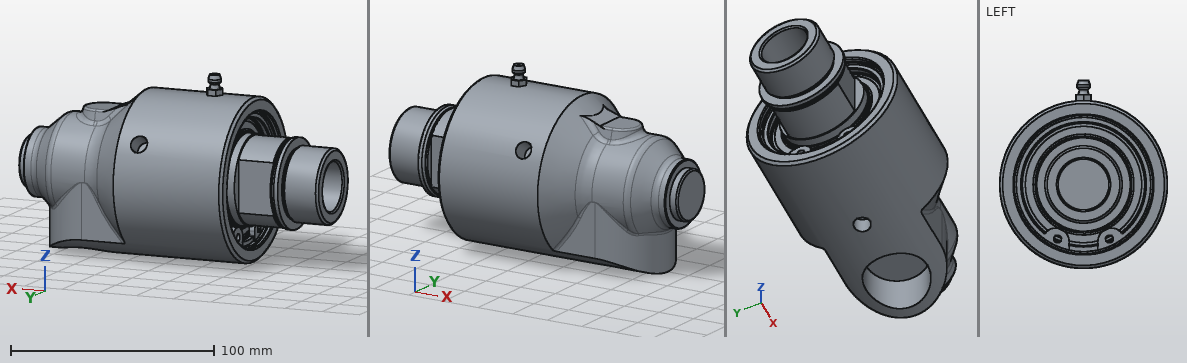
import cadquery as cq
import math


housing_front = 41.9
housing_radius = 82.6 / 2
housing_chamfer = 1.5
shoulder_x = 100.1
taper_angle = math.radians(40)
waist_radius = 26.5
waist_end_x = 140.4
shoulder_blend = 12.3
nose_blend = 5.4
nose_radius = 34.8 / 2
nose_end_x = 159.2
nose_chamfer = 0.5
stub_radius = 13.3
stub_chamfer = 0.8
overall_length = 163.6

mouth_radius = 34.0
mouth_chamfer = 0.7
mouth_end_x = 44.2
cavity_radius = 33.0
ledge_x = 46.3
ledge_inner_radius = 30.8
bearing_face_x = 48.5
outer_race_inner_radius = 30.1
shield_x = 49.2
shield_step_radius = 28.6
shield_step_x = 48.9
inner_race_outer_radius = 24.9

thread_radius = 38.1 / 2
thread_length = 19.0
thread_chamfer = 1.1
flange_radius = 46.0 / 2
flange_start_x = 19.8
flange_step_x = 22.0
flange_step_radius = 22.2
flange_end_x = 23.4
undercut_radius = 21.6
undercut_end_x = 24.4
shaft_radius = 44.7 / 2
collar_start_x = 43.0
collar_radius = 23.0
seat_start_x = 47.3
seat_radius = 23.9
width_across_flats = 35.8
bore_radius = 25.0 / 2
bore_chamfer = 0.8
bore_depth = 98.2

ring_front_x = 45.5
ring_thickness = bearing_face_x - ring_front_x
ring_inner_radius = 31.0
ring_gap = 14.2
lug_radius = 6.7
lug_y = 13.7
lug_z = -28.1
lug_hole_y = 12.8
lug_hole_z = -26.8
lug_hole_diameter = 3.8

boss_x = 123.8
boss_radius = 26.3
boss_fillet = 2.1
port_x = 127.6
port_radius = 16.9
port_top_z = -18.0

pad_x = 123.7
pad_radius = 9.7
pad_draft = 15
pad_top_z = 30.8
pad_ramp_x = 116.6
pad_ramp_slope = 0.37
pad_edge_fillet = 1.3
pad_base_fillet = 3.6
pad_block_top_z = 38.0

side_hole_x = 88.7
side_hole_diameter = 8.7
side_hole_depth = 9.8
side_hole_angles = (30, 150, 270)

nipple_x = 63.8
nipple_hex_corners = 8.7
nipple_hex_top_z = 44.2
nipple_height = 10.0
nipple_top_z = housing_radius + nipple_height
nipple_sunk_depth = 1.6
nipple_root_radius = 5.4 / 2
nipple_neck_radius = 2.1
nipple_neck_start_z = 46.1
nipple_neck_end_z = 46.6
nipple_ball_radius = 3.3
nipple_ball_start_z = 47.8
nipple_ball_end_z = 49.0
nipple_tip_radius = 2.5
nipple_hole_diameter = 1.1
nipple_hole_depth = 1.3

selection_margin = 0.2


def revolve_about_x(profile):
    """Turn an (x, radius) half profile into a solid about the X axis."""
    return profile.close().revolve(360, (0, 0, 0), (1, 0, 0))


def disc(x, radius, length):
    return cq.Workplane("YZ", origin=(x, 0, 0)).circle(radius).extrude(length)


def blend_arc(profile, center, radius, start_angle, end_angle):
    """Add an arc about `center` from `start_angle` to `end_angle`, joined by a line."""
    def point(angle):
        return (center[0] + radius * math.cos(angle), center[1] + radius * math.sin(angle))

    middle = point((start_angle + end_angle) / 2)
    return profile.lineTo(*point(start_angle)).threePointArc(middle, point(end_angle))


def make_housing():
    up = math.pi / 2
    down = -math.pi / 2
    blend_share = 1 - math.cos(taper_angle)
    slope = math.tan(taper_angle)
    taper_drop = housing_radius - waist_radius - shoulder_blend * blend_share
    waist_start_x = shoulder_x + taper_drop / slope + shoulder_blend * math.sin(taper_angle)
    nose_drop = waist_radius - nose_radius - 2 * nose_blend * blend_share
    nose_start_x = waist_end_x + nose_drop / slope + 2 * nose_blend * math.sin(taper_angle)

    profile = (
        cq.Workplane("XY")
        .moveTo(housing_front, 0)
        .lineTo(housing_front, housing_radius - housing_chamfer)
        .lineTo(housing_front + housing_chamfer, housing_radius)
        .lineTo(shoulder_x, housing_radius)
    )
    shoulder_center = (waist_start_x, waist_radius + shoulder_blend)
    profile = blend_arc(profile, shoulder_center, shoulder_blend, down - taper_angle, down)
    crest_center = (waist_end_x, waist_radius - nose_blend)
    profile = blend_arc(profile, crest_center, nose_blend, up, up - taper_angle)
    root_center = (nose_start_x, nose_radius + nose_blend)
    profile = blend_arc(profile, root_center, nose_blend, down - taper_angle, down)
    profile = (
        profile.lineTo(nose_end_x - nose_chamfer, nose_radius)
        .lineTo(nose_end_x, nose_radius - nose_chamfer)
        .lineTo(nose_end_x, stub_radius)
        .lineTo(overall_length - stub_chamfer, stub_radius)
        .lineTo(overall_length, stub_radius - stub_chamfer)
        .lineTo(overall_length, 0)
    )
    return revolve_about_x(profile)


def make_cavity():
    profile = (
        cq.Workplane("XY")
        .moveTo(housing_front, 0)
        .lineTo(housing_front, mouth_radius + mouth_chamfer)
        .lineTo(housing_front + mouth_chamfer, mouth_radius)
        .lineTo(mouth_end_x, mouth_radius)
        .lineTo(mouth_end_x, cavity_radius)
        .lineTo(ledge_x, cavity_radius)
        .lineTo(ledge_x, ledge_inner_radius)
        .lineTo(bearing_face_x, ledge_inner_radius)
        .lineTo(bearing_face_x, outer_race_inner_radius)
        .lineTo(shield_x, outer_race_inner_radius)
        .lineTo(shield_x, shield_step_radius)
        .lineTo(shield_step_x, shield_step_radius)
        .lineTo(shield_step_x, inner_race_outer_radius)
        .lineTo(bearing_face_x, inner_race_outer_radius)
        .lineTo(bearing_face_x, 0)
    )
    return revolve_about_x(profile)


def make_rotor():
    profile = (
        cq.Workplane("XY")
        .lineTo(0, thread_radius - thread_chamfer)
        .lineTo(thread_chamfer, thread_radius)
        .lineTo(thread_length - thread_chamfer, thread_radius)
        .lineTo(thread_length, thread_radius - thread_chamfer)
        .lineTo(flange_start_x, thread_radius - thread_chamfer)
        .lineTo(flange_start_x, flange_radius)
        .lineTo(flange_step_x, flange_radius)
        .lineTo(flange_end_x, flange_step_radius)
        .lineTo(flange_end_x, undercut_radius)
        .lineTo(undercut_end_x, undercut_radius)
        .lineTo(undercut_end_x, shaft_radius)
        .lineTo(collar_start_x, shaft_radius)
        .lineTo(collar_start_x, collar_radius)
        .lineTo(seat_start_x, collar_radius)
        .lineTo(seat_start_x, seat_radius)
        .lineTo(bearing_face_x, seat_radius)
        .lineTo(bearing_face_x, 0)
    )
    rotor = revolve_about_x(profile)
    flat_length = collar_start_x - undercut_end_x
    flat_center_x = undercut_end_x + flat_length / 2
    flat_block = cq.Workplane("XY", origin=(flat_center_x, 0, 0)).box(
        flat_length, width_across_flats, 4 * shaft_radius
    )
    flat_cutter = disc(undercut_end_x, 2 * shaft_radius, flat_length).cut(flat_block)
    return rotor.cut(flat_cutter)


def make_bore():
    profile = (
        cq.Workplane("XY")
        .lineTo(0, bore_radius + bore_chamfer)
        .lineTo(bore_chamfer, bore_radius)
        .lineTo(bore_depth, bore_radius)
        .lineTo(bore_depth, 0)
    )
    return revolve_about_x(profile)


def make_retaining_ring():
    ring_plane = cq.Workplane("YZ", origin=(ring_front_x, 0, 0))
    lug_centers = [(-lug_y, lug_z), (lug_y, lug_z)]
    hole_centers = [(-lug_hole_y, lug_hole_z), (lug_hole_y, lug_hole_z)]
    gap_center = ring_plane.center(0, -cavity_radius)
    gap = gap_center.rect(ring_gap, cavity_radius).extrude(ring_thickness)
    ring = ring_plane.circle(cavity_radius).circle(ring_inner_radius).extrude(ring_thickness)
    lugs = ring_plane.pushPoints(lug_centers).circle(lug_radius).extrude(ring_thickness)
    lugs = lugs.intersect(disc(ring_front_x, cavity_radius, ring_thickness))
    holes = ring_plane.pushPoints(hole_centers).circle(lug_hole_diameter / 2).extrude(ring_thickness)
    return ring.union(lugs).cut(gap).cut(holes)


def add_pad(body):
    """Join a U-shaped pad to the top of the waist, with a ramp running up to the taper."""
    foot_radius = pad_radius + pad_top_z * math.tan(math.radians(pad_draft))
    block_start_x = shoulder_x - foot_radius
    block = (
        cq.Workplane("XY")
        .moveTo(block_start_x, -foot_radius)
        .lineTo(pad_x, -foot_radius)
        .threePointArc((pad_x + foot_radius, 0), (pad_x, foot_radius))
        .lineTo(block_start_x, foot_radius)
        .close()
        .extrude(pad_block_top_z, taper=pad_draft)
    )
    base_box = cq.selectors.BoxSelector(
        (pad_x + selection_margin, -foot_radius, 0),
        (pad_x + foot_radius, foot_radius, waist_radius + selection_margin),
    )
    padded = body.union(block).edges(base_box).fillet(pad_base_fillet)

    ramp_start_z = pad_top_z + pad_ramp_slope * (pad_ramp_x - shoulder_x)
    trim = (
        cq.Workplane("XZ")
        .moveTo(shoulder_x, housing_radius)
        .lineTo(shoulder_x, ramp_start_z)
        .lineTo(pad_ramp_x, pad_top_z)
        .lineTo(pad_x + 2 * pad_radius, pad_top_z)
        .lineTo(pad_x + 2 * pad_radius, housing_radius)
        .close()
        .extrude(2 * pad_radius, both=True)
        .cut(body)
    )
    top_box = cq.selectors.BoxSelector(
        (pad_ramp_x + selection_margin, -2 * pad_radius, pad_top_z - selection_margin),
        (pad_x + 2 * pad_radius, 2 * pad_radius, pad_top_z + selection_margin),
    )
    return padded.cut(trim).edges(top_box).fillet(pad_edge_fillet)


def add_boss(body):
    """Join a U-shaped boss below the waist, its foot following the housing cylinder."""
    outline = (
        cq.Workplane("XY")
        .moveTo(shoulder_x, -boss_radius)
        .lineTo(boss_x, -boss_radius)
        .threePointArc((boss_x + boss_radius, 0), (boss_x, boss_radius))
        .lineTo(shoulder_x, boss_radius)
        .close()
    )
    envelope = disc(shoulder_x, housing_radius, overall_length - shoulder_x)
    boss = outline.extrude(-housing_radius).intersect(envelope)
    joint_box = cq.selectors.BoxSelector(
        (boss_x + boss_radius / 2, -boss_radius, -waist_radius),
        (boss_x + boss_radius, boss_radius, -nose_radius),
    )
    return body.union(boss).edges(joint_box).fillet(boss_fillet)


def make_side_hole(angle):
    """Radial blind hole at `angle` degrees, measured from +Y toward +Z."""
    direction = cq.Vector(0, math.cos(math.radians(angle)), math.sin(math.radians(angle)))
    floor = direction * (housing_radius - side_hole_depth)
    floor_point = cq.Vector(side_hole_x, floor.y, floor.z)
    hole = cq.Solid.makeCylinder(side_hole_diameter / 2, 2 * side_hole_depth, floor_point, direction)
    return cq.Workplane(obj=hole)


def make_nipple():
    base_z = housing_radius - nipple_sunk_depth
    hex_base = (
        cq.Workplane("XY", origin=(nipple_x, 0, base_z))
        .polygon(6, nipple_hex_corners)
        .extrude(nipple_hex_top_z - base_z)
    )
    head = (
        cq.Workplane("XZ", origin=(nipple_x, 0, 0))
        .moveTo(0, base_z)
        .lineTo(nipple_root_radius, base_z)
        .lineTo(nipple_root_radius, nipple_hex_top_z)
        .lineTo(nipple_neck_radius, nipple_neck_start_z)
        .lineTo(nipple_neck_radius, nipple_neck_end_z)
        .lineTo(nipple_ball_radius, nipple_ball_start_z)
        .lineTo(nipple_ball_radius, nipple_ball_end_z)
        .lineTo(nipple_tip_radius, nipple_top_z)
        .lineTo(0, nipple_top_z)
        .close()
        .revolve(360, (0, 0, 0), (0, 1, 0))
    )
    grease_hole = (
        cq.Workplane("XY", origin=(nipple_x, 0, nipple_top_z))
        .circle(nipple_hole_diameter / 2)
        .extrude(-nipple_hole_depth)
    )
    return hex_base.union(head).cut(grease_hole)


def make_port():
    return cq.Workplane("XY", origin=(port_x, 0, port_top_z)).circle(port_radius).extrude(-housing_radius)


result = add_pad(add_boss(make_housing()))
result = result.cut(make_cavity()).union(make_rotor()).union(make_retaining_ring())
result = result.union(make_nipple()).cut(make_bore()).cut(make_port())
for hole_angle in side_hole_angles:
    result = result.cut(make_side_hole(hole_angle))